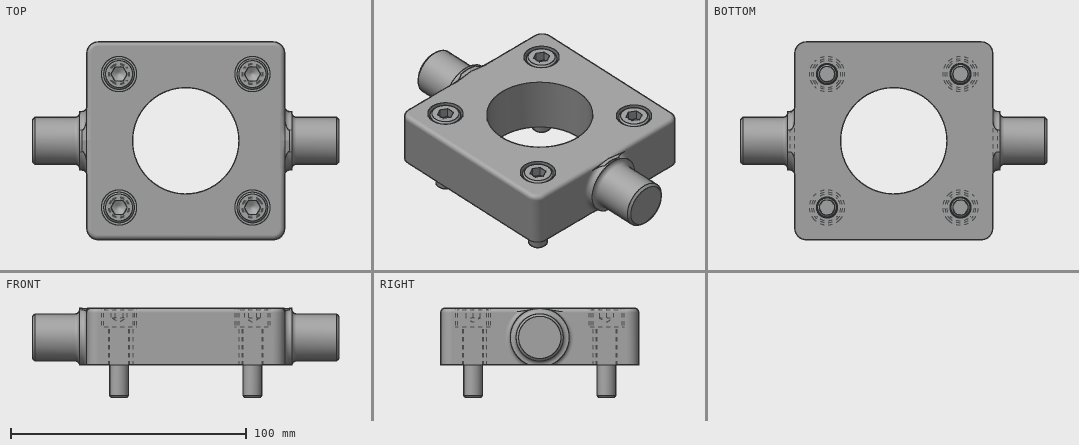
import cadquery as cq
import math

block_side = 84.0
block_height = 24.0
corner_radius = 5.0
top_edge_radius = 2.0
bore_diameter = 45.0

overall_length = 130.0
trunnion_diameter = 20.0
trunnion_chamfer = 1.0
hub_diameter = 25.0
hub_length = 3.0
root_radius = 2.0

saddle_length = 23.9
saddle_drop = 0.1

screw_spacing = 56.5
counterbore_diameter = 15.0
clearance_diameter = 9.0
head_diameter = 13.0
head_height = 8.0
head_chamfer = 0.8
shank_diameter = 8.0
shank_projection = 13.9
shank_chamfer = 0.8
hex_across_flats = 6.0
hex_depth = 4.0
hex_point_angle = 120.0

half_side = block_side / 2
axis_height = block_height - hub_diameter / 2
seat_height = block_height - head_height


def make_block():
    block = cq.Workplane("XY").rect(block_side, block_side).extrude(block_height)
    block = block.edges("|Z").fillet(corner_radius)
    return block.faces(">Z").edges().fillet(top_edge_radius)


def make_trunnion():
    """Trunnion on the +X side, turned about X and trimmed to the height of the block."""
    trunnion_radius = trunnion_diameter / 2
    hub_radius = hub_diameter / 2
    flare_radius = hub_radius + root_radius
    hub_x = half_side + hub_length
    tip_x = overall_length / 2
    arc_mid = root_radius * (1 - math.sqrt(0.5))

    trunnion = (
        cq.Workplane("XY")
        .moveTo(half_side, 0)
        .lineTo(half_side, flare_radius)
        .threePointArc(
            (half_side + arc_mid, hub_radius + arc_mid),
            (half_side + root_radius, hub_radius),
        )
        .lineTo(hub_x, hub_radius)
        .lineTo(hub_x, trunnion_radius + root_radius)
        .threePointArc(
            (hub_x + arc_mid, trunnion_radius + arc_mid),
            (hub_x + root_radius, trunnion_radius),
        )
        .lineTo(tip_x - trunnion_chamfer, trunnion_radius)
        .lineTo(tip_x, trunnion_radius - trunnion_chamfer)
        .lineTo(tip_x, 0)
        .close()
        .revolve(360, (0, 0, 0), (1, 0, 0))
        .translate((0, 0, axis_height))
    )
    height_limit = cq.Workplane("XY").rect(overall_length, block_side).extrude(block_height)
    return trunnion.intersect(height_limit)


def loft_to_saddle(base_height):
    """Solid between the level base_height and the saddle surface at the top of the hub.

    From the top plane the surface curves down to the side of the block and runs on level over
    the flare. It drops least at Y = 0 and meets the rounded block edge at both ends.
    """
    inner_x = half_side - top_edge_radius
    outer_x = half_side + root_radius

    def section(y, drop):
        arc_radius = (top_edge_radius**2 + drop**2) / (2 * drop)
        half_angle = math.asin(top_edge_radius / arc_radius) / 2
        arc_mid_x = inner_x + arc_radius * math.sin(half_angle)
        arc_mid_z = block_height - arc_radius * (1 - math.cos(half_angle))
        plane = cq.Plane(origin=(0, y, 0), xDir=(1, 0, 0), normal=(0, -1, 0))
        outline = (
            cq.Workplane(plane)
            .moveTo(inner_x, base_height)
            .lineTo(inner_x, block_height)
            .threePointArc((arc_mid_x, arc_mid_z), (half_side, block_height - drop))
            .lineTo(outer_x, block_height - drop)
            .lineTo(outer_x, base_height)
            .close()
        )
        return outline.val()

    middle = section(0, saddle_drop)
    halves = []
    for y_side in (-1, 1):
        end = section(y_side * saddle_length / 2, top_edge_radius)
        halves.append(cq.Solid.makeLoft([middle, end], True))
    return cq.Workplane(halves[0]).union(cq.Workplane(halves[1]))


def make_trunnion_side():
    """Trunnion with its flare lowered to the saddle, and the block edge filled up to the saddle."""
    above_saddle = loft_to_saddle(block_height + root_radius)
    block_limit = cq.Workplane("XY").rect(block_side, block_side).extrude(block_height)
    edge_fill = loft_to_saddle(axis_height).intersect(block_limit)
    return make_trunnion().cut(above_saddle).union(edge_fill)


def make_screw():
    """Cap screw on the Z axis, with a hexagon socket that ends in a drill point."""
    head = cq.Workplane("XY").workplane(offset=seat_height).circle(head_diameter / 2).extrude(head_height)
    head = head.faces(">Z").chamfer(head_chamfer)
    shank = (
        cq.Workplane("XY")
        .workplane(offset=-shank_projection)
        .circle(shank_diameter / 2)
        .extrude(shank_projection + seat_height)
        .faces("<Z")
        .chamfer(shank_chamfer)
    )

    hex_radius = hex_across_flats / 2 / math.cos(math.radians(30))
    point_depth = hex_radius / math.tan(math.radians(hex_point_angle / 2))
    hexagon = (
        cq.Workplane("XY")
        .workplane(offset=seat_height)
        .polygon(6, 2 * hex_radius)
        .extrude(head_height)
    )
    drill = (
        cq.Workplane("XZ")
        .moveTo(0, block_height)
        .lineTo(hex_radius, block_height)
        .lineTo(hex_radius, block_height - hex_depth)
        .lineTo(0, block_height - hex_depth - point_depth)
        .close()
        .revolve(360, (0, 0, 0), (0, 1, 0))
    )
    return head.union(shank).cut(hexagon.intersect(drill))


def make_screw_hole():
    """Clearance hole on the Z axis, counterbored from the top down to the screw seat."""
    clearance = cq.Workplane("XY").circle(clearance_diameter / 2).extrude(block_height)
    counterbore = (
        cq.Workplane("XY")
        .workplane(offset=seat_height)
        .circle(counterbore_diameter / 2)
        .extrude(head_height)
    )
    return clearance.union(counterbore)


bore = cq.Workplane("XY").circle(bore_diameter / 2).extrude(block_height)
trunnion_side = make_trunnion_side()
result = make_block().union(trunnion_side).union(trunnion_side.mirror("YZ")).cut(bore)

screw_hole = make_screw_hole()
screw = make_screw()
for x_side in (-1, 1):
    for y_side in (-1, 1):
        position = (x_side * screw_spacing / 2, y_side * screw_spacing / 2, 0)
        result = result.cut(screw_hole.translate(position))
        result = result.union(screw.translate(position))